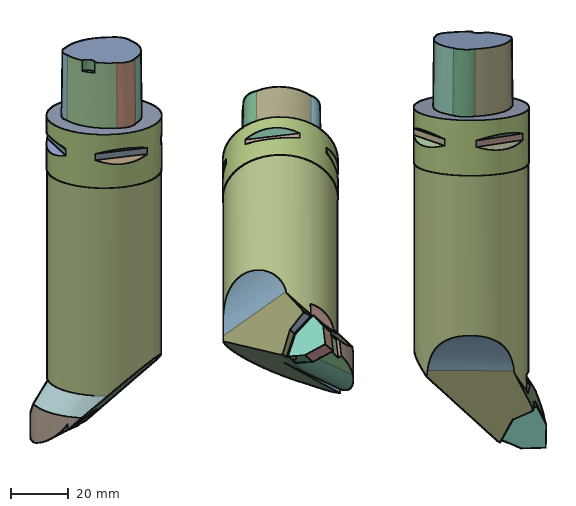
import cadquery as cq
import math

TOTAL_HEIGHT = 144.0
FLANGE_TOP = 120.1
FLANGE_BOTTOM = 100.4
NECK_BOTTOM = 23.9
HEAD_WALL_TOP = 16.4

FLANGE_RADIUS = 40.0 / 2
NECK_RADIUS = 39.7 / 2

SHANK_LOBE_RADIUS = 14.8
SHANK_SEAM_RADIUS = 14.0
SHANK_SIDE_RADIUS = 13.1
SHANK_SEAM_ANGLE = 16.3
SHANK_LOBE_ANGLES = (90, 210, 330)
SHANK_TOP_SHRINK = 0.3
KEY_NOTCH_RADIUS = 5.2 / 2
KEY_NOTCH_Y = -13.5
KEY_NOTCH_DEPTH = 3.9

SLOT_COUNT = 4
SLOT_FIRST_ANGLE = 45.0
SLOT_Z = 111.7
SLOT_FLOOR_DISTANCE = 17.5
SLOT_FLOOR_HEIGHT = 2.3
SLOT_MOUTH_HEIGHT = 5.6

HEAD_X = -3.6
HEAD_Y = -2.2
HEAD_RADIUS = 21.5
SHOULDER_TOP = 31.7
SHOULDER_START_Y = -3.6
RELIEF_OFFSET = 14.3
HEEL_TILT = 5.0
TIP_X = -26.4
HEEL_Z = 0.9
HEEL_FLAT_END = (-18.7, HEEL_Z)
HEEL_ARC_MIDDLE = (-9.2, 5.2)
HEEL_ARC_END = (-2.9, RELIEF_OFFSET - 2.9)
CUT_SIZE = 86.4

POCKET_Y = 9.4
POCKET_TURN = 10.5
POCKET_TILT = 7.4
POCKET_FLOOR_END = 29.7
POCKET_RUNOUT_RADIUS = 24.5
POCKET_RUNOUT_SWEEP = 55.0

FLAT_POINT = (-20.6, 8.4, 21.2)
FLAT_TURN = 8.4
FLAT_SLOPE = 26.0
GROOVE_RADIUS = 4.6
GROOVE_LENGTH = 12.1
GROOVE_CENTER = (-22.5, -5.0, 23.0)

INSERT_TURN = 18.0
INSERT_TILT = 8.5
INSERT_THICKNESS = 4.8
INSERT_EDGE = 8.6
INSERT_FAR = 15.5
INSERT_BEND = 3.5
INSERT_BACK = 11.5
INSERT_CLEARANCE = 0.6
FLANK_LENGTH = 4.3
FLANK_INSET = 0.9


def turned_plane(origin, turn, tilt):
    """Plane with x inward, y up and its normal facing -Y, turned about Z and leaned back."""
    turn_rad = math.radians(turn)
    tilt_rad = math.radians(tilt)
    inward = cq.Vector(math.cos(turn_rad), math.sin(turn_rad), 0)
    back = cq.Vector(
        math.sin(turn_rad) * math.cos(tilt_rad),
        -math.cos(turn_rad) * math.cos(tilt_rad),
        math.sin(tilt_rad),
    )
    return cq.Plane(origin=origin, xDir=inward, normal=back)


def polar_point(radius, degrees):
    angle = math.radians(degrees)
    return radius * math.cos(angle), radius * math.sin(angle)


def lobed_wire(shrink, z):
    """Six arcs through the middles of the lobes and sides, measured from the axis."""
    lobe = SHANK_LOBE_RADIUS - shrink
    seam = SHANK_SEAM_RADIUS - shrink
    side = SHANK_SIDE_RADIUS - shrink
    half_pitch = 360 / len(SHANK_LOBE_ANGLES) / 2
    outline = cq.Workplane("XY", origin=(0, 0, z))
    outline = outline.moveTo(*polar_point(seam, SHANK_LOBE_ANGLES[0] - SHANK_SEAM_ANGLE))
    for angle in SHANK_LOBE_ANGLES:
        lobe_end = polar_point(seam, angle + SHANK_SEAM_ANGLE)
        side_end = polar_point(seam, angle + 2 * half_pitch - SHANK_SEAM_ANGLE)
        outline = outline.threePointArc(polar_point(lobe, angle), lobe_end)
        outline = outline.threePointArc(polar_point(side, angle + half_pitch), side_end)
    return outline.close().wires().val()


def make_shank():
    base = lobed_wire(0, FLANGE_TOP)
    top = lobed_wire(SHANK_TOP_SHRINK, TOTAL_HEIGHT)
    notch = (
        cq.Workplane("XY", origin=(0, KEY_NOTCH_Y, TOTAL_HEIGHT))
        .circle(KEY_NOTCH_RADIUS)
        .extrude(-KEY_NOTCH_DEPTH)
    )
    return cq.Workplane(cq.Solid.makeLoft([base, top], True)).cut(notch)


def make_gripper_slot(angle):
    mouth = FLANGE_RADIUS
    slot = (
        cq.Workplane("XZ")
        .moveTo(SLOT_FLOOR_DISTANCE, SLOT_Z - SLOT_FLOOR_HEIGHT / 2)
        .lineTo(mouth, SLOT_Z - SLOT_MOUTH_HEIGHT / 2)
        .lineTo(mouth, SLOT_Z + SLOT_MOUTH_HEIGHT / 2)
        .lineTo(SLOT_FLOOR_DISTANCE, SLOT_Z + SLOT_FLOOR_HEIGHT / 2)
        .close()
        .extrude(FLANGE_RADIUS, both=True)
    )
    return slot.rotate((0, 0, 0), (0, 0, 1), angle)


def make_flange():
    flange = (
        cq.Workplane("XY", origin=(0, 0, FLANGE_BOTTOM))
        .circle(FLANGE_RADIUS)
        .extrude(FLANGE_TOP - FLANGE_BOTTOM)
    )
    for i in range(SLOT_COUNT):
        flange = flange.cut(make_gripper_slot(SLOT_FIRST_ANGLE + i * 360 / SLOT_COUNT))
    return flange


def make_neck():
    return (
        cq.Workplane("XY", origin=(0, 0, HEAD_WALL_TOP))
        .circle(NECK_RADIUS)
        .extrude(FLANGE_BOTTOM - HEAD_WALL_TOP)
    )


def make_head():
    """Flared head, with a shoulder beside the neck that the sloping flat trims to a wedge."""
    flare = (
        cq.Workplane("XY", origin=(0, 0, NECK_BOTTOM))
        .circle(NECK_RADIUS)
        .workplane(offset=HEAD_WALL_TOP - NECK_BOTTOM)
        .center(HEAD_X, HEAD_Y)
        .circle(HEAD_RADIUS)
        .loft(ruled=True)
    )
    wall = cq.Workplane("XY").center(HEAD_X, HEAD_Y).circle(HEAD_RADIUS).extrude(HEAD_WALL_TOP)
    shoulder_space = (
        cq.Workplane("XY", origin=(0, SHOULDER_START_Y, 0))
        .rect(-CUT_SIZE, CUT_SIZE, centered=False)
        .extrude(SHOULDER_TOP)
    )
    shoulder = (
        cq.Workplane("XY")
        .center(HEAD_X, HEAD_Y)
        .circle(HEAD_RADIUS)
        .extrude(SHOULDER_TOP)
        .intersect(shoulder_space)
    )
    return wall.union(shoulder).union(flare)


def make_relief_cut():
    """Half space beyond the 45 degree face opposite the cutting corner."""
    return (
        cq.Workplane("XZ")
        .moveTo(-RELIEF_OFFSET, 0)
        .lineTo(CUT_SIZE - RELIEF_OFFSET, CUT_SIZE)
        .lineTo(CUT_SIZE, 0)
        .close()
        .extrude(CUT_SIZE, both=True)
    )


def make_heel_cut():
    """Space under the rounded, tilted end face of the head."""
    return (
        cq.Workplane("XZ")
        .moveTo(-CUT_SIZE, HEEL_Z)
        .lineTo(*HEEL_FLAT_END)
        .threePointArc(HEEL_ARC_MIDDLE, HEEL_ARC_END)
        .lineTo(HEEL_ARC_END[0], -CUT_SIZE)
        .lineTo(-CUT_SIZE, -CUT_SIZE)
        .close()
        .extrude(CUT_SIZE, both=True)
        .rotate((0, 0, 0), (1, 0, 0), -HEEL_TILT)
    )


def make_chip_pocket():
    """Space in front of the leaned pocket floor, ending in an arc that runs out of the neck."""
    floor = turned_plane((0, POCKET_Y, 0), POCKET_TURN, POCKET_TILT)
    side = cq.Plane(origin=(0, POCKET_Y, 0), xDir=floor.zDir * -1, normal=floor.xDir)
    half_sweep = math.radians(POCKET_RUNOUT_SWEEP / 2)

    def runout(angle):
        return (
            POCKET_RUNOUT_RADIUS * (1 - math.cos(angle)),
            POCKET_FLOOR_END + POCKET_RUNOUT_RADIUS * math.sin(angle),
        )

    return (
        cq.Workplane(side)
        .moveTo(0, -CUT_SIZE)
        .lineTo(0, POCKET_FLOOR_END)
        .threePointArc(runout(half_sweep), runout(2 * half_sweep))
        .lineTo(CUT_SIZE, runout(2 * half_sweep)[1])
        .lineTo(CUT_SIZE, -CUT_SIZE)
        .close()
        .extrude(CUT_SIZE, both=True)
    )


def make_side_flat_cut():
    """Half space outside the sloping flat."""
    return (
        cq.Workplane("XY")
        .box(CUT_SIZE, CUT_SIZE, CUT_SIZE)
        .translate((-CUT_SIZE / 2, 0, 0))
        .rotate((0, 0, 0), (0, 1, 0), FLAT_SLOPE)
        .rotate((0, 0, 0), (0, 0, 1), FLAT_TURN)
        .translate(FLAT_POINT)
    )


def make_groove():
    """Round cutter groove in the neck at the upper end of the flat."""
    return (
        cq.Workplane("XZ")
        .circle(GROOVE_RADIUS)
        .extrude(GROOVE_LENGTH / 2, both=True)
        .rotate((0, 0, 0), (0, 0, 1), FLAT_TURN)
        .translate(GROOVE_CENTER)
    )


def insert_outline():
    plane = turned_plane((TIP_X, 0, 0), INSERT_TURN, INSERT_TILT)
    return cq.Workplane(plane).polyline(
        [
            (0, 0),
            (INSERT_EDGE, 0),
            (INSERT_FAR, INSERT_BEND),
            (INSERT_BACK, INSERT_BACK),
            (INSERT_BEND, INSERT_FAR),
            (0, INSERT_EDGE),
        ]
    ).close()


def make_insert():
    return insert_outline().extrude(INSERT_THICKNESS)


def make_insert_opening():
    """Clear space over the insert's rake face, slightly wider than the insert."""
    return insert_outline().offset2D(INSERT_CLEARANCE, "intersection").extrude(-CUT_SIZE)


def make_flank_cut():
    """Flat just behind the insert's outer edge."""
    plane = turned_plane((TIP_X, 0, 0), INSERT_TURN, INSERT_TILT)
    return (
        cq.Workplane(plane)
        .moveTo(FLANK_INSET, -INSERT_EDGE)
        .lineTo(FLANK_INSET, INSERT_EDGE)
        .lineTo(-INSERT_EDGE, INSERT_EDGE)
        .lineTo(-INSERT_EDGE, -INSERT_EDGE)
        .close()
        .extrude(INSERT_THICKNESS + FLANK_LENGTH)
    )


def make_holder(insert):
    head = make_head().cut(make_side_flat_cut())
    holder = head.union(make_neck())
    for cutter in (
        make_relief_cut(),
        make_heel_cut(),
        make_chip_pocket(),
        make_groove(),
        make_flank_cut(),
        make_insert_opening(),
        insert,
    ):
        holder = holder.cut(cutter)
    return holder.union(make_flange()).union(make_shank())


insert = make_insert()
holder = make_holder(insert)

result = cq.Compound.makeCompound([holder.solids().val(), insert.val()])